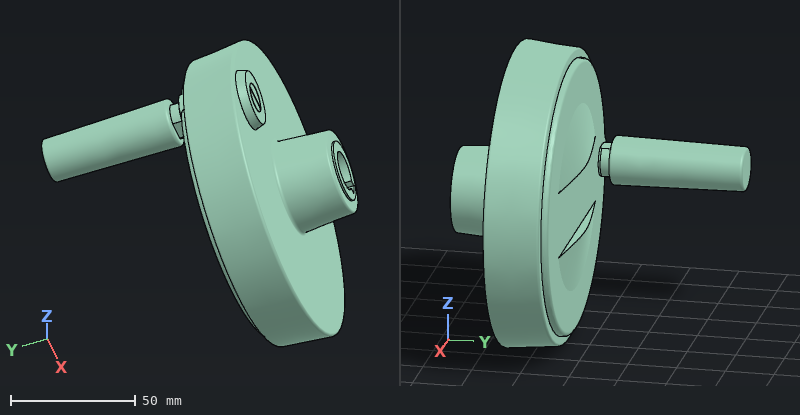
import cadquery as cq
import math


RIM_RADIUS = 62.4
RIM_TAPER = 5.5
RIM_WIDTH = 22.7
RIM_EDGE_ROUND = 1.1
PLATE_RADIUS = 56.2
PLATE_BACK = 25.6
PLATE_EDGE_ROUND = 1.9

CONE_RADIUS = 37.9
CONE_SLOT_WIDTH = 27.4
CONE_HEIGHT_AT_SLOT = 3.6

HUB_ROOT_RADIUS = 19.2
HUB_END_RADIUS = 17.6
HUB_LENGTH = 23.0
HUB_ROOT_ROUND = 1.4
HUB_END_ROUND = 1.0
BUSH_DIAMETER = 25.0
BUSH_LENGTH = 23.7
BORE_DIAMETER = 16.0
BORE_DEPTH = 29.9
CHAMBER_DIAMETER = 17.5
CHAMBER_LENGTH = 7.5
KEYWAY_WIDTH = 5.0
KEYWAY_REACH = 10.2

HANDLE_X = -47.5
HANDLE_START = 30.4
HANDLE_END = 85.3
HANDLE_START_RADIUS = 10.1
HANDLE_END_RADIUS = 9.1
HANDLE_ROUND = 1.2
NECK_RADIUS = 7.1
NECK_FLATS = 12.0
NECK_CHAMFER_RADIAL = 0.4
NECK_CHAMFER_AXIAL = 0.9
HANDLE_BOSS_RADIUS = 10.0

WASHER_BASE_DIAMETER = 25.0
WASHER_FACE_DIAMETER = 22.5
WASHER_HEIGHT = 3.7
SCREW_DIAMETER = 12.0
SCREW_RECESS = 0.1
SCREW_SLOT_WIDTH = 0.6
SCREW_SLOT_DEPTH = 0.7


def frustum(x, start, end, start_radius, end_radius):
    """Solid of revolution about a Y-parallel axis with straight sides."""
    profile = cq.Workplane("XY").polyline(
        [(0, start), (start_radius, start), (end_radius, end), (0, end)]
    ).close()
    return profile.revolve(360, (0, 0, 0), (0, 1, 0)).translate((x, 0, 0))


def cylinder(x, start, end, radius):
    return frustum(x, start, end, radius, radius)


def slab(x, start, end, length, height):
    """Box centred at x and z = 0, from y = start to y = end."""
    return cq.Workplane("XY").box(length, end - start, height).translate((x, (start + end) / 2, 0))


def make_wheel():
    corner_half_angle = math.radians((90 - RIM_TAPER) / 2)
    corner_radius = RIM_RADIUS + RIM_EDGE_ROUND * (1 / math.tan(corner_half_angle) - 1)
    back_radius = corner_radius - RIM_WIDTH * math.tan(math.radians(RIM_TAPER))
    rim = frustum(0, 0, RIM_WIDTH, corner_radius, back_radius)
    rim = rim.faces("<Y or >Y").edges().fillet(RIM_EDGE_ROUND)
    plate = cylinder(0, RIM_WIDTH / 2, PLATE_BACK, PLATE_RADIUS)
    plate = plate.faces(">Y").edges().fillet(PLATE_EDGE_ROUND)
    return rim.union(plate)


def make_split_cone():
    slope = CONE_HEIGHT_AT_SLOT / (CONE_RADIUS - CONE_SLOT_WIDTH / 2)
    apex = PLATE_BACK + slope * CONE_RADIUS
    cone = cq.Workplane("XY").polyline(
        [(0, RIM_WIDTH), (CONE_RADIUS, RIM_WIDTH), (CONE_RADIUS, PLATE_BACK), (0, apex)]
    ).close().revolve(360, (0, 0, 0), (0, 1, 0))
    return cone.cut(slab(0, PLATE_BACK, apex, 2 * CONE_RADIUS, CONE_SLOT_WIDTH))


def make_hub():
    hub = frustum(0, 0, -HUB_LENGTH, HUB_ROOT_RADIUS, HUB_END_RADIUS)
    hub = hub.faces("<Y").edges().fillet(HUB_END_ROUND)
    return hub.union(cylinder(0, -BUSH_LENGTH, 0, BUSH_DIAMETER / 2))


def make_keyed_bore():
    bore_end = BORE_DEPTH - BUSH_LENGTH
    bore = cylinder(0, -BUSH_LENGTH, bore_end, BORE_DIAMETER / 2)
    keyway = slab(KEYWAY_REACH / 2, -BUSH_LENGTH, bore_end, KEYWAY_REACH, KEYWAY_WIDTH)
    chamber = cylinder(0, bore_end, bore_end + CHAMBER_LENGTH, CHAMBER_DIAMETER / 2)
    return bore.union(keyway).union(chamber)


def make_handle():
    grip = frustum(HANDLE_X, HANDLE_START, HANDLE_END, HANDLE_START_RADIUS, HANDLE_END_RADIUS)
    grip = grip.faces("<Y or >Y").edges().fillet(HANDLE_ROUND)
    chamfer_end = PLATE_BACK + NECK_CHAMFER_AXIAL
    neck = cylinder(HANDLE_X, chamfer_end, HANDLE_START, NECK_RADIUS)
    neck = neck.union(
        frustum(HANDLE_X, PLATE_BACK, chamfer_end, NECK_RADIUS - NECK_CHAMFER_RADIAL, NECK_RADIUS)
    )
    neck = neck.intersect(slab(HANDLE_X, PLATE_BACK, HANDLE_START, 2 * NECK_RADIUS, NECK_FLATS))
    boss = cylinder(HANDLE_X, RIM_WIDTH, PLATE_BACK, HANDLE_BOSS_RADIUS)
    return grip.union(neck).union(boss)


def make_washer():
    face = -WASHER_HEIGHT
    screw_face = face + SCREW_RECESS
    washer = frustum(HANDLE_X, 0, face, WASHER_BASE_DIAMETER / 2, WASHER_FACE_DIAMETER / 2)
    washer = washer.cut(cylinder(HANDLE_X, face, screw_face, SCREW_DIAMETER / 2))
    slot = slab(HANDLE_X, face, screw_face + SCREW_SLOT_DEPTH, SCREW_DIAMETER, SCREW_SLOT_WIDTH)
    return washer.cut(slot.intersect(cylinder(HANDLE_X, face, 0, SCREW_DIAMETER / 2)))


def round_hub_root(body):
    """Concave fillet where the hub meets the rim's front face."""
    margin = 0.1
    reach = HUB_ROOT_RADIUS + margin
    root = cq.selectors.BoxSelector(
        (-reach, -margin, -reach), (reach, margin, reach), boundingbox=True
    )
    return body.edges(root).fillet(HUB_ROOT_ROUND)


wheel = round_hub_root(make_wheel().union(make_hub()))
wheel = wheel.union(make_split_cone()).cut(make_keyed_bore())
result = wheel.union(make_handle()).union(make_washer())